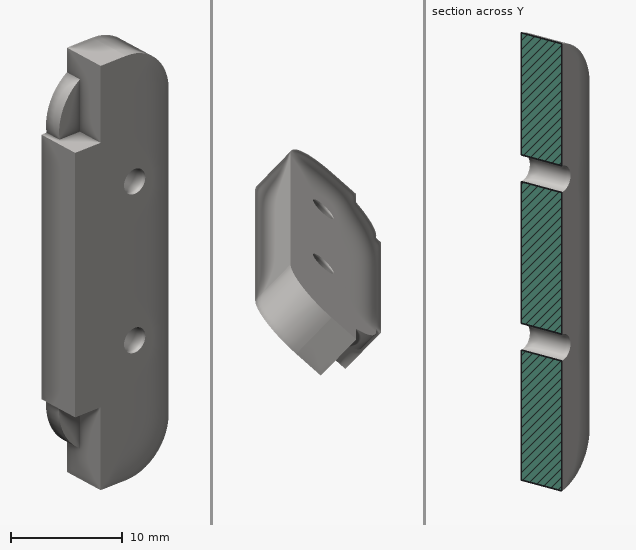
import cadquery as cq

thickness = 4.65
height = 42.75
plate_width = 8.0
corner_radius = 5.0

overall_width = 11.0
tongue_height = 26.65
tongue_top_gap = 7.75

flange_thickness = 1.8
flange_width = 10.45
flange_radius = 5.4
flange_overhang = 0.75

hole_diameter = 2.5
hole_spacing = 16.0
hole_top_gap = 13.0
hole_inset = 4.0

tongue_middle_z = height - tongue_top_gap - tongue_height / 2


def slab(width, slab_height, depth, middle_z):
    """Block starting at X = 0 and reaching from the back edge toward -Y."""
    block = cq.Workplane("XY").box(depth, width, slab_height, centered=(False, False, True))
    return block.translate((0, -width, middle_z))


def make_plate():
    """Full-height plate with its two back corners rounded."""
    plate = slab(plate_width, height, thickness, height / 2)
    return plate.edges("|X and >Y").fillet(corner_radius)


def make_flange():
    """Thin discs on the X = 0 face, centred just beyond the two ends of the tongue."""
    centre_y = flange_radius - flange_width
    centre_offset = tongue_height / 2 + flange_overhang
    centres = [(centre_y, tongue_middle_z + side * centre_offset) for side in (-1, 1)]
    discs = cq.Workplane("YZ").pushPoints(centres).circle(flange_radius).extrude(flange_thickness)
    front_strip = slab(overall_width, height, flange_thickness, height / 2)
    back_strip = slab(plate_width / 2, height, flange_thickness, height / 2)
    return discs.intersect(front_strip.cut(back_strip))


def make_holes():
    """Pair of through holes, one above the other."""
    top_hole_z = height - hole_top_gap
    centres = [(-hole_inset, top_hole_z), (-hole_inset, top_hole_z - hole_spacing)]
    return cq.Workplane("YZ").pushPoints(centres).circle(hole_diameter / 2).extrude(thickness)


tongue = slab(overall_width, tongue_height, thickness, tongue_middle_z)
result = make_plate().union(tongue).union(make_flange()).cut(make_holes())